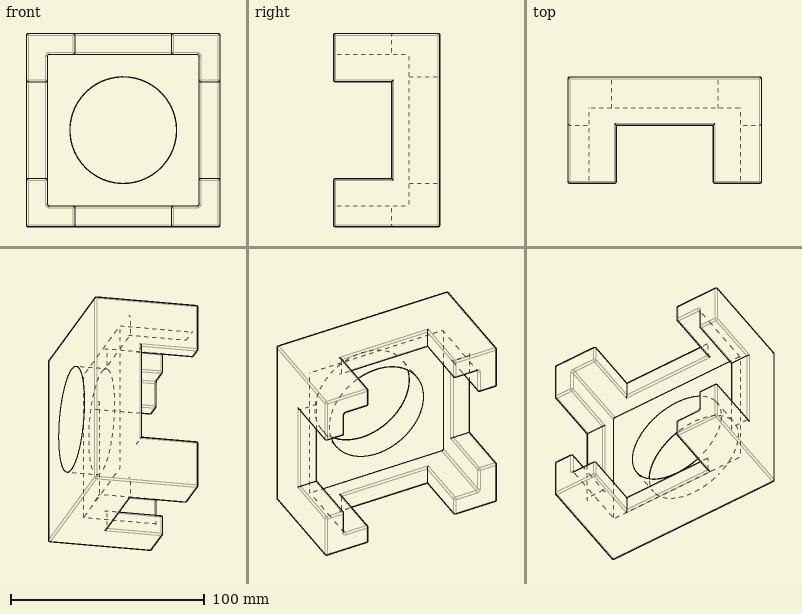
import cadquery as cq

side = 100.0
depth = 55.0
floor_thickness = 16.0
pocket_width = 78.3
corner_radius = 1.0
window_width = 50.0
window_depth = 30.0
bore_diameter = 55.0
edge_radius = 1.0

pocket_depth = depth - floor_thickness
tolerance = 0.01


def block_from_front(size_x, size_z, length):
    """Block centred on the Y axis, running from the front plane Y = 0 to Y = length."""
    return cq.Workplane("XY").box(size_x, length, size_z).translate((0, length / 2, 0))


def make_frame():
    """Square block with a pocket and a window through each wall, edges still sharp."""
    pocket = block_from_front(pocket_width, pocket_width, pocket_depth)
    pocket = pocket.edges("|Y").fillet(corner_radius)
    frame = block_from_front(side, side, depth).cut(pocket)
    frame = frame.cut(block_from_front(side, window_width, window_depth))
    return frame.cut(block_from_front(window_width, side, window_depth))


def is_rounded(edge):
    """True for all edges except those bounding the pocket floor and the windows' inside corners."""
    centre = edge.Center()
    touches_pocket_floor = abs(edge.BoundingBox().ymax - pocket_depth) < tolerance
    at_window_end = abs(centre.y - window_depth) < tolerance
    off_centre = min(abs(centre.x), abs(centre.z)) > tolerance
    return not (touches_pocket_floor or (at_window_end and off_centre))


def round_edges(frame):
    """Round the outer edges, the pocket rim and the window edges."""
    rounded = [edge for edge in frame.edges().vals() if is_rounded(edge)]
    return frame.newObject(rounded).fillet(edge_radius)


def cut_bore(body):
    """Cut the round hole straight through the floor."""
    bore = cq.Workplane("XZ").circle(bore_diameter / 2).extrude(-depth)
    return body.cut(bore)


result = cut_bore(round_edges(make_frame()))